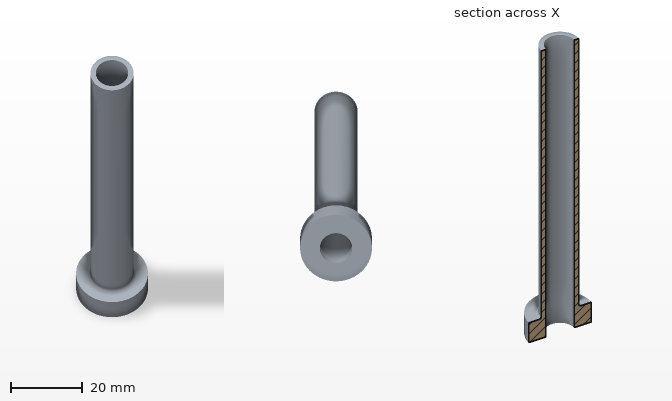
import cadquery as cq

total_length = 100.0
head_diameter = 20.0
head_height = 7.0
shank_diameter = 12.0
bore_diameter = 9.0
neck_fillet = 0.8

head_radius = head_diameter / 2
shank_radius = shank_diameter / 2

profile = (
    cq.Workplane("XZ")
    .lineTo(head_radius, 0)
    .lineTo(head_radius, head_height)
    .lineTo(shank_radius + neck_fillet, head_height)
    .radiusArc((shank_radius, head_height + neck_fillet), neck_fillet)
    .lineTo(shank_radius, total_length)
    .lineTo(0, total_length)
    .close()
)
body = profile.revolve(360, (0, 0, 0), (0, 1, 0))

bore = cq.Workplane("XY").circle(bore_diameter / 2).extrude(total_length)

result = body.cut(bore)